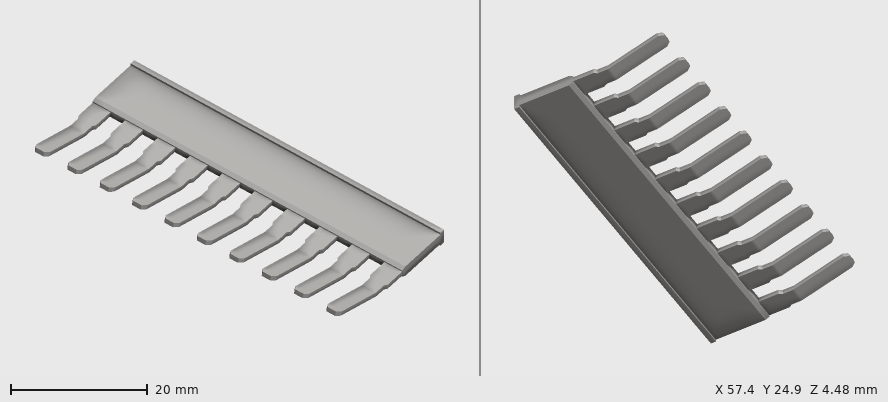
import cadquery as cq
import math

length = 57.4
bar_depth = 9.95
bar_height = 1.9
flange_depth = 0.85
flange_height = 2.65
front_bevel_depth = 0.7
front_bevel_drop = 0.35

blade_count = 10
blade_thickness = 0.8
root_width = 3.3
end_gap = 0.05
finger_width = 2.6
shoulder_start = 13.4
shoulder_end = 13.9
bend_place = 15.65
reach = 24.85
bend_angle = math.radians(17.2)
bend_inner_radius = 0.7
tip_chamfer_along = 0.75
tip_chamfer_across = 0.5

first_blade_x = end_gap + root_width / 2
blade_pitch = (length - 2 * first_blade_x) / (blade_count - 1)
half_thickness = blade_thickness / 2


def make_bar():
    """Bar with a flange along its back edge and bevels along its front edge."""
    half_flange = flange_height / 2
    half_bar = bar_height / 2
    half_front = half_bar - front_bevel_drop
    upper = [
        (0, half_flange),
        (-flange_depth, half_flange),
        (-flange_depth, half_bar),
        (-bar_depth + front_bevel_depth, half_bar),
        (-bar_depth, half_front),
    ]
    lower = [(y, -z) for y, z in reversed(upper)]
    return cq.Workplane("YZ").polyline(upper + lower).close().extrude(length)


def make_bent_sheet():
    """Bent blade section, as wide as the blade root and centred on x = 0."""
    miter = half_thickness * math.tan(bend_angle / 2)
    tip_bottom_y = -reach
    tip_top_y = tip_bottom_y + blade_thickness * math.sin(bend_angle)
    top_bend_y = -bend_place - miter
    bottom_bend_y = -bend_place + miter
    slope = math.tan(bend_angle)
    section = [
        (-bar_depth / 2, half_thickness),
        (top_bend_y, half_thickness),
        (tip_top_y, half_thickness + slope * (top_bend_y - tip_top_y)),
        (tip_bottom_y, -half_thickness + slope * (bottom_bend_y - tip_bottom_y)),
        (bottom_bend_y, -half_thickness),
        (-bar_depth / 2, -half_thickness),
    ]
    sheet = cq.Workplane("YZ").polyline(section).close().extrude(root_width / 2, both=True)

    top_bend = cq.NearestToPointSelector((0, top_bend_y, half_thickness))
    bottom_bend = cq.NearestToPointSelector((0, bottom_bend_y, -half_thickness))
    sheet = sheet.edges(top_bend).fillet(bend_inner_radius)
    return sheet.edges(bottom_bend).fillet(bend_inner_radius + blade_thickness)


def make_blade():
    """Bent sheet trimmed to the shouldered outline, with chamfered tip corners."""
    right_side = [
        (root_width / 2, 0),
        (root_width / 2, -shoulder_start),
        (finger_width / 2, -shoulder_end),
        (finger_width / 2, -reach),
    ]
    left_side = [(-x, y) for x, y in reversed(right_side)]
    outline = cq.Workplane("XY").polyline(right_side + left_side).close()
    blade = make_bent_sheet().intersect(outline.extrude(reach, both=True))
    return blade.faces("<Y").edges("not |X").chamfer(tip_chamfer_along, tip_chamfer_across)


result = make_bar()
blade = make_blade()
for index in range(blade_count):
    result = result.union(blade.translate((first_blade_x + index * blade_pitch, 0, 0)))